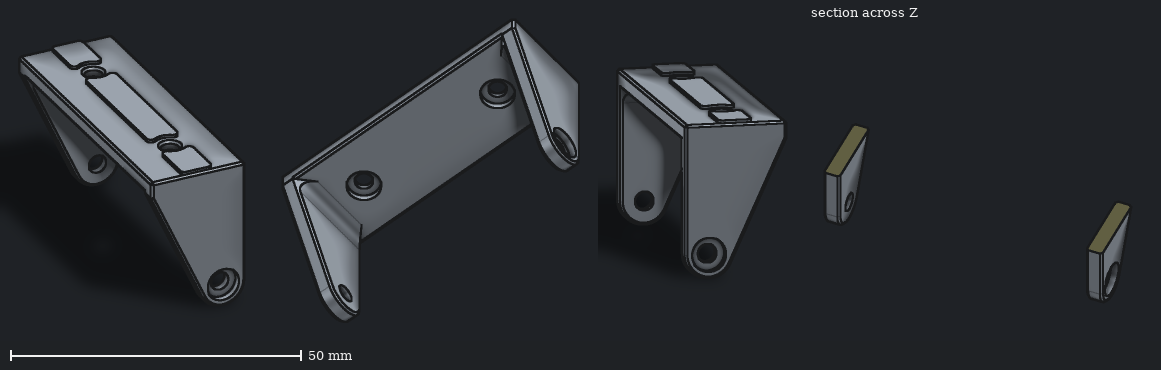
import cadquery as cq
import math

length = 52.2
depth = 18.0
height = 27.65
wall = 3.05
edge_chamfer = 0.4
inner_fillet = 2.5

pad_height = 0.5
pad_width = 5.85
pad_corner = 0.85
pad_end = length / 2 - edge_chamfer
pad_hole_clearance = 3.05

mount_x = 15.0
mount_diameter = 3.2
mount_chamfer = 0.45

recess_diameter = 6.0
recess_depth = 1.4

eye_radius = 4.25
pivot_diameter = 3.3

plate_top = height - pad_height
plate_bottom = plate_top - wall
front_y = -depth / 2
back_y = depth / 2
pivot_y = back_y - eye_radius
pivot_z = eye_radius
inner_x = length / 2 - wall

corner_dy = front_y - pivot_y
corner_dz = plate_bottom - pivot_z
corner_distance = math.hypot(corner_dy, corner_dz)
tangent_angle = math.atan2(corner_dz, corner_dy) + math.acos(eye_radius / corner_distance)


def eye_point(angle):
    return (pivot_y + eye_radius * math.cos(angle), pivot_z + eye_radius * math.sin(angle))


def right_leg():
    """Leg on the +X side with its sloping front edge tangent to the eye."""
    return (
        cq.Workplane("YZ", origin=(inner_x, 0, 0))
        .moveTo(back_y, plate_top)
        .lineTo(front_y, plate_top)
        .lineTo(front_y, plate_bottom)
        .lineTo(*eye_point(tangent_angle))
        .threePointArc(eye_point(-math.pi / 2), eye_point(0))
        .close()
        .extrude(wall)
        .edges("<X or >X or (|X and >Z)")
        .chamfer(edge_chamfer)
    )


def top_plate():
    """Plate chamfered all round; the legs fill the chamfers at its lower ends."""
    return (
        cq.Workplane("XY", origin=(0, 0, plate_bottom))
        .box(length, depth, wall, centered=(True, True, False))
        .edges("|X or |Z or >Z")
        .chamfer(edge_chamfer)
    )


def corner_gusset():
    """Concave round inside the +X corner, its ends following the planes of the leg chamfers."""
    tangent_x = inner_x - inner_fillet
    tangent_z = plate_bottom - inner_fillet
    arc_middle = inner_fillet * math.sqrt(0.5)
    round_fill = (
        cq.Workplane("XZ", origin=(0, back_y, 0))
        .moveTo(tangent_x, plate_bottom)
        .threePointArc((tangent_x + arc_middle, tangent_z + arc_middle), (inner_x, tangent_z))
        .lineTo(inner_x + edge_chamfer, tangent_z)
        .lineTo(inner_x + edge_chamfer, plate_bottom)
        .close()
        .extrude(depth)
    )
    taper = inner_fillet + edge_chamfer
    front_taper = taper / abs(math.cos(tangent_angle))
    lower_front_y = front_y + inner_fillet * math.tan(tangent_angle)

    def section(section_front_y):
        return [
            (inner_x + edge_chamfer, section_front_y),
            (inner_x + edge_chamfer, back_y),
            (tangent_x, back_y - taper),
            (tangent_x, section_front_y + front_taper),
        ]

    limits = (
        cq.Workplane("XY", origin=(0, 0, tangent_z))
        .polyline(section(lower_front_y))
        .close()
        .workplane(offset=inner_fillet)
        .polyline(section(front_y))
        .close()
        .loft(ruled=True)
    )
    return round_fill.intersect(limits)


def bracket():
    side = right_leg().union(corner_gusset())
    return top_plate().union(side).union(side.mirror("YZ"))


def pad(start_x, end_x):
    """Pad between two X positions, hollowed around the mounting holes and rounded."""
    clearance = (
        cq.Workplane("XY", origin=(0, 0, plate_top))
        .pushPoints([(-mount_x, 0), (mount_x, 0)])
        .circle(pad_hole_clearance)
        .extrude(pad_height)
    )
    return (
        cq.Workplane("XY", origin=((start_x + end_x) / 2, 0, plate_top))
        .rect(end_x - start_x, pad_width)
        .extrude(pad_height)
        .cut(clearance)
        .edges("|Z")
        .fillet(pad_corner)
    )


def mount_hole(x):
    """Cutter for a through hole, chamfered above and counterbored from below."""
    mount_radius = mount_diameter / 2
    return (
        cq.Workplane("XZ", origin=(x, 0, 0))
        .moveTo(0, plate_bottom)
        .lineTo(recess_diameter / 2, plate_bottom)
        .lineTo(recess_diameter / 2, plate_bottom + recess_depth)
        .lineTo(mount_radius, plate_bottom + recess_depth)
        .lineTo(mount_radius, plate_top - mount_chamfer)
        .lineTo(mount_radius + mount_chamfer, plate_top)
        .lineTo(0, plate_top)
        .close()
        .revolve(360, (0, 0), (0, 1))
    )


def pivot_cylinder(start_x, diameter, span):
    return (
        cq.Workplane("YZ", origin=(start_x, pivot_y, pivot_z))
        .circle(diameter / 2)
        .extrude(span)
    )


result = bracket()
for start_x, end_x in [(-pad_end, -mount_x), (-mount_x, mount_x), (mount_x, pad_end)]:
    result = result.union(pad(start_x, end_x))
for x in (-mount_x, mount_x):
    result = result.cut(mount_hole(x))
result = result.cut(pivot_cylinder(-length / 2, pivot_diameter, length))
for recess_start in (-length / 2, length / 2 - recess_depth):
    result = result.cut(pivot_cylinder(recess_start, recess_diameter, recess_depth))